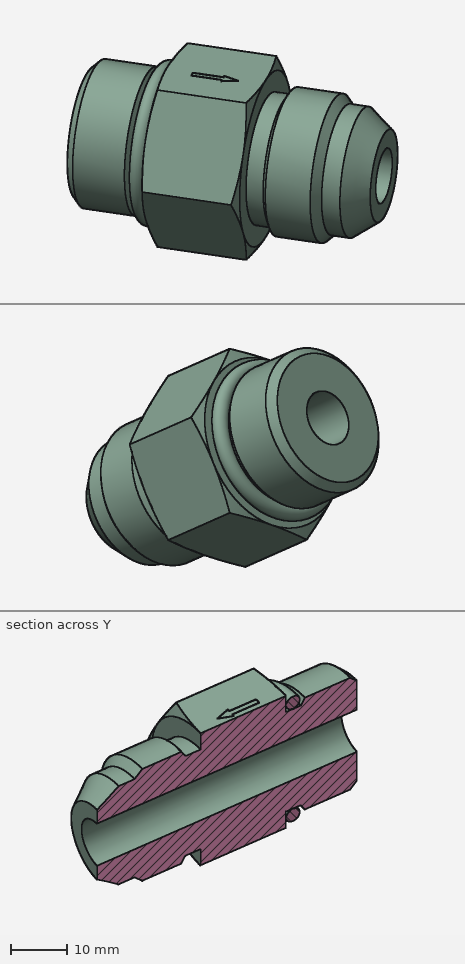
import cadquery as cq
import math

TOTAL_LENGTH = 55.25
BORE_DIAMETER = 10.0

THREAD_DIAMETER = 26.95
UNDERCUT_DIAMETER = 24.05
THREAD_STEP = (THREAD_DIAMETER - UNDERCUT_DIAMETER) / 2
RUNOUT_ANGLE = 30.0
RUNOUT_LENGTH = THREAD_STEP * math.tan(math.radians(RUNOUT_ANGLE))

HEX_ACROSS_FLATS = 31.75
HEX_SIDES = 6
HEX_ACROSS_CORNERS = HEX_ACROSS_FLATS / math.cos(math.pi / HEX_SIDES)
HEX_START = 15.1
HEX_END = 33.25
HEX_CHAMFER_ANGLE = 19.0

RING_OUTER_DIAMETER = 30.0
RING_CORD = (RING_OUTER_DIAMETER - UNDERCUT_DIAMETER) / 2
RING_CENTRE_X = HEX_START - RING_CORD / 2

PORT_CHAMFER = THREAD_STEP
GROOVE_START = 11.95

TUBE_THREAD_START = 37.3
TUBE_THREAD_END = 45.65
NOSE_DIAMETER = 23.7
NOSE_CHAMFER = (THREAD_DIAMETER - NOSE_DIAMETER) / 2
FLARE_START = 50.65
FLARE_ANGLE = 37.0
FLARE_END_RADIUS = NOSE_DIAMETER / 2 - (TOTAL_LENGTH - FLARE_START) * math.tan(math.radians(FLARE_ANGLE))

ARROW_START = 20.05
ARROW_HEAD_START = 25.75
ARROW_TIP = 28.6
ARROW_CENTRE_Y = -1.6
ARROW_SHAFT_WIDTH = 1.05
ARROW_HEAD_WIDTH = 2.05
ARROW_DEPTH = 0.1


def revolve_about_x(profile):
    """Revolve a closed XY profile a full turn about the X axis."""
    return profile.revolve(360, (0, 0, 0), (1, 0, 0))


def make_turned_body():
    """Round stock running from the port face to the flare face."""
    thread_radius = THREAD_DIAMETER / 2
    undercut_radius = UNDERCUT_DIAMETER / 2
    nose_radius = NOSE_DIAMETER / 2
    outline = [
        (0, 0),
        (0, thread_radius - PORT_CHAMFER),
        (PORT_CHAMFER, thread_radius),
        (GROOVE_START - RUNOUT_LENGTH, thread_radius),
        (GROOVE_START, undercut_radius),
        (TUBE_THREAD_START - RUNOUT_LENGTH, undercut_radius),
        (TUBE_THREAD_START, thread_radius),
        (TUBE_THREAD_END, thread_radius),
        (TUBE_THREAD_END + NOSE_CHAMFER, nose_radius),
        (FLARE_START, nose_radius),
        (TOTAL_LENGTH, FLARE_END_RADIUS),
        (TOTAL_LENGTH, 0),
    ]
    return revolve_about_x(cq.Workplane("XY").polyline(outline).close())


def make_hexagon():
    """Hexagon whose corners are turned off by a cone at each end."""
    prism = (
        cq.Workplane("YZ", origin=(HEX_START, 0, 0))
        .polygon(HEX_SIDES, HEX_ACROSS_CORNERS)
        .extrude(HEX_END - HEX_START)
    )
    flat_radius = HEX_ACROSS_FLATS / 2
    corner_radius = HEX_ACROSS_CORNERS / 2
    chamfer_length = (corner_radius - flat_radius) * math.tan(math.radians(HEX_CHAMFER_ANGLE))
    envelope = revolve_about_x(
        cq.Workplane("XY")
        .moveTo(HEX_START, 0)
        .lineTo(HEX_START, flat_radius)
        .lineTo(HEX_START + chamfer_length, corner_radius)
        .lineTo(HEX_END - chamfer_length, corner_radius)
        .lineTo(HEX_END, flat_radius)
        .lineTo(HEX_END, 0)
        .close()
    )
    return prism.intersect(envelope)


def make_arrow_cutter():
    """Arrow pointing along +X, sunk below the upper flat."""
    half_shaft = ARROW_SHAFT_WIDTH / 2
    half_head = ARROW_HEAD_WIDTH / 2
    return (
        cq.Workplane("XY", origin=(0, ARROW_CENTRE_Y, HEX_ACROSS_FLATS / 2))
        .moveTo(ARROW_START, -half_shaft)
        .lineTo(ARROW_HEAD_START, -half_shaft)
        .lineTo(ARROW_HEAD_START, -half_head)
        .lineTo(ARROW_TIP, 0)
        .lineTo(ARROW_HEAD_START, half_head)
        .lineTo(ARROW_HEAD_START, half_shaft)
        .lineTo(ARROW_START, half_shaft)
        .close()
        .extrude(-ARROW_DEPTH)
    )


def make_fitting():
    """One-piece adapter: turned ends, hexagon, through bore and flow arrow."""
    bore = cq.Workplane("YZ").circle(BORE_DIAMETER / 2).extrude(TOTAL_LENGTH)
    return make_turned_body().union(make_hexagon()).cut(bore).cut(make_arrow_cutter())


def make_sealing_ring():
    """Ring of round cord seated in the groove beside the hexagon."""
    cord_centre_radius = (RING_OUTER_DIAMETER - RING_CORD) / 2
    return revolve_about_x(
        cq.Workplane("XY").moveTo(RING_CENTRE_X, cord_centre_radius).circle(RING_CORD / 2)
    )


fitting = make_fitting()
sealing_ring = make_sealing_ring()

result = cq.Compound.makeCompound([fitting.val(), sealing_ring.val()])